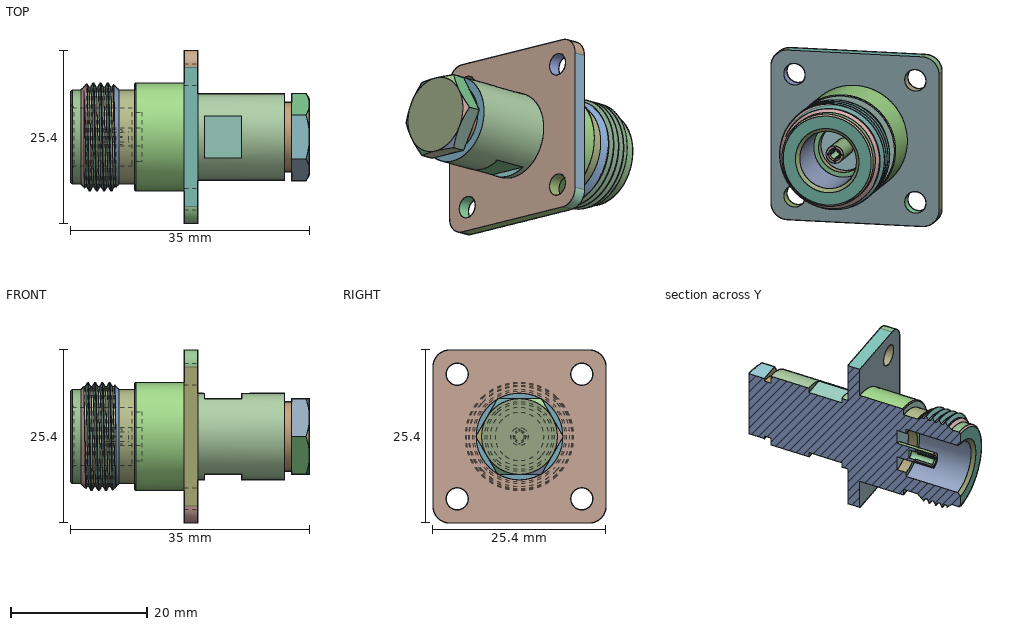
import cadquery as cq
import math


thread_start = 1.5
thread_end = 7.1
barrel_start = 9.4
flange_start = 16.65
flange_thickness = 2.0
flange_end = flange_start + flange_thickness
body_end = 31.35
nut_start = 32.4
overall_length = 35.0

mating_ring_diameter = 13.8
mating_ring_chamfer = 0.25
barrel_diameter = 15.88
barrel_chamfer = 0.15
body_diameter = 12.7
neck_diameter = 10.2

thread_diameter = barrel_diameter
inch = 25.4
threads_per_inch = 24
thread_pitch = inch / threads_per_inch
thread_root_diameter = 14.7
thread_crest_width = 0.1
thread_flank_half_angle = 30.0
thread_lead_cone = (thread_diameter - mating_ring_diameter) / 2
groove_start = 0.42
groove_turns = 7
groove_overshoot = 0.05
rod_extension = 2.0

flange_side = inch
flange_corner_radius = 2.5
mounting_hole_diameter = 3.2
mounting_hole_spacing = 18.26

wrench_size = 11.1
wrench_flat_offset = 1.0
wrench_flat_start = flange_end + wrench_flat_offset
wrench_flat_length = 5.4
nut_chamfer_angle = 30.0

mouth_diameter = 9.6
bore_diameter = 8.56
bore_depth = 9.0
mouth_chamfer = (mouth_diameter - bore_diameter) / 2
inner_bore_diameter = 7.12
inner_bore_depth = 10.5
contact_tip = 4.5
contact_diameter = 2.6
contact_hole_diameter = 1.4
contact_hole_mouth_diameter = 1.84
contact_hole_chamfer = (contact_hole_mouth_diameter - contact_hole_diameter) / 2
contact_hole_depth = 4.0
contact_slot_width = 0.2
contact_slot_span = 2.16
contact_slot_length = 3.0


def cylinder(start, end, diameter):
    """Solid cylinder on the X axis between two stations."""
    return cq.Workplane("YZ", origin=(start, 0, 0)).circle(diameter / 2).extrude(end - start)


def revolve(outline):
    """Revolve a closed (station, radius) outline about the X axis."""
    return cq.Workplane("XY").polyline(outline).close().revolve(360, (0, 0, 0), (1, 0, 0))


def make_thread_groove():
    """Trapezoidal groove swept along a right-handed helix about X."""
    root_radius = thread_root_diameter / 2
    crest_radius = thread_diameter / 2
    outer_radius = crest_radius + groove_overshoot
    flank_slope = math.tan(math.radians(thread_flank_half_angle))
    crest_half_gap = (thread_pitch - thread_crest_width) / 2
    root_half_width = crest_half_gap - (crest_radius - root_radius) * flank_slope
    outer_half_width = crest_half_gap + groove_overshoot * flank_slope

    helix = cq.Wire.makeHelix(thread_pitch, groove_turns * thread_pitch, root_radius)
    profile = cq.Workplane("XZ").polyline([
        (root_radius, -root_half_width),
        (root_radius, root_half_width),
        (outer_radius, outer_half_width),
        (outer_radius, -outer_half_width),
    ]).close()
    groove = profile.sweep(cq.Workplane(helix), isFrenet=True)
    groove = groove.rotate((0, 0, 0), (0, 1, 0), 90)
    return groove.translate((groove_start, 0, 0))


def make_threaded_collar():
    """Threaded collar with a 45 degree cone at each end."""
    rod = cylinder(-rod_extension, barrel_start + rod_extension, thread_diameter)
    ring_radius = mating_ring_diameter / 2
    envelope = revolve([
        (thread_start, 0),
        (thread_start, ring_radius),
        (thread_start + thread_lead_cone, thread_diameter / 2),
        (thread_end - thread_lead_cone, thread_diameter / 2),
        (thread_end, ring_radius),
        (thread_end, 0),
    ])
    return rod.cut(make_thread_groove()).intersect(envelope)


def make_mating_end():
    """Mating ring, threaded collar and undercut ahead of the barrel."""
    ring = cylinder(0, barrel_start, mating_ring_diameter).faces("<X").chamfer(mating_ring_chamfer)
    return ring.union(make_threaded_collar())


def make_flange():
    """Square plate with rounded corners and four mounting holes."""
    return (
        cq.Workplane("YZ", origin=(flange_start, 0, 0))
        .rect(flange_side, flange_side)
        .extrude(flange_thickness)
        .edges("|X")
        .fillet(flange_corner_radius)
        .faces("<X")
        .workplane()
        .rect(mounting_hole_spacing, mounting_hole_spacing, forConstruction=True)
        .vertices()
        .hole(mounting_hole_diameter)
    )


def make_rear_body():
    """Rear cylinder with two opposite wrench flats, facing +Z and -Z."""
    body = cylinder(flange_end, body_end, body_diameter)
    flat_band = cylinder(wrench_flat_start, wrench_flat_start + wrench_flat_length, body_diameter)
    between_flats = cq.Workplane("XY").box(2 * overall_length, body_diameter, wrench_size)
    return body.cut(flat_band.cut(between_flats))


def make_nut():
    """Hex nut with flats facing +Z and -Z and a conical rear chamfer."""
    corner_radius = wrench_size / 2 / math.cos(math.pi / 6)
    face_radius = wrench_size / 2
    chamfer_length = (corner_radius - face_radius) * math.tan(math.radians(nut_chamfer_angle))
    hexagon = (
        cq.Workplane("YZ", origin=(nut_start, 0, 0))
        .polygon(6, 2 * corner_radius)
        .extrude(overall_length - nut_start)
    )
    envelope = revolve([
        (nut_start, 0),
        (nut_start, corner_radius),
        (overall_length - chamfer_length, corner_radius),
        (overall_length, face_radius),
        (overall_length, 0),
    ])
    return hexagon.intersect(envelope)


def make_socket():
    """Stepped cavity with a chamfered mouth, open at the mating face."""
    bore = cylinder(0, bore_depth, bore_diameter)
    inner_bore = cylinder(bore_depth, inner_bore_depth, inner_bore_diameter)
    mouth = revolve([
        (0, 0),
        (0, mouth_diameter / 2),
        (mouth_chamfer, bore_diameter / 2),
        (mouth_chamfer, 0),
    ])
    return bore.union(inner_bore).union(mouth)


def make_contact():
    """Hollow centre contact, with four narrow slots in the wall of its hole."""
    pin = cylinder(contact_tip, inner_bore_depth, contact_diameter)
    hole = cylinder(contact_tip, contact_tip + contact_hole_depth, contact_hole_diameter)
    hole_mouth = revolve([
        (contact_tip, 0),
        (contact_tip, contact_hole_mouth_diameter / 2),
        (contact_tip + contact_hole_chamfer, contact_hole_diameter / 2),
        (contact_tip + contact_hole_chamfer, 0),
    ])
    pin = pin.cut(hole).cut(hole_mouth)
    slot = cq.Workplane("XY").box(contact_slot_length, contact_slot_span, contact_slot_width)
    slot = slot.translate((contact_tip + contact_slot_length / 2, 0, 0))
    for angle in (0, 90):
        pin = pin.cut(slot.rotate((0, 0, 0), (1, 0, 0), angle))
    return pin


barrel = cylinder(barrel_start, flange_start, barrel_diameter).faces("<X").chamfer(barrel_chamfer)
neck = cylinder(body_end, nut_start, neck_diameter)

result = (
    make_mating_end()
    .union(barrel)
    .union(make_flange())
    .union(make_rear_body())
    .union(neck)
    .union(make_nut())
    .cut(make_socket())
    .union(make_contact())
)